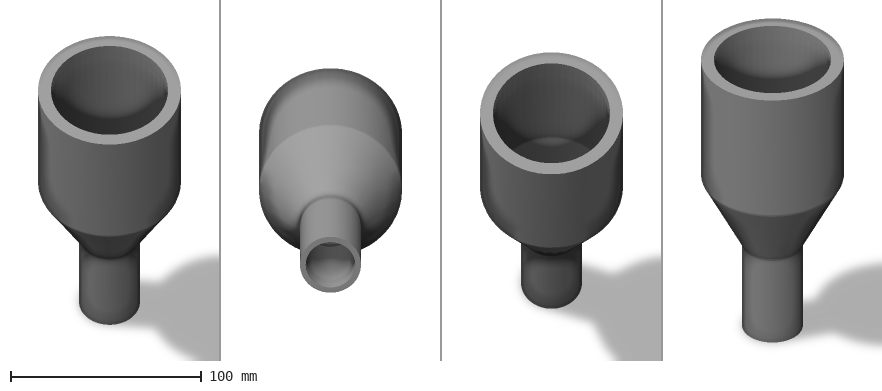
import cadquery as cq

total_height = 170.0
large_diameter = 75.0
small_diameter = 32.0

large_wall = 6.8
small_wall = 3.0

large_length = 74.0
small_length = 53.0

blend_radius = 3.0

cone_bottom = small_length
cone_top = total_height - large_length


def stepped_solid(large_radius, small_radius):
    """Solid of revolution: small cylinder, cone, large cylinder, with blended joints."""
    profile = (
        cq.Workplane("XZ")
        .moveTo(0, 0)
        .lineTo(small_radius, 0)
        .lineTo(small_radius, cone_bottom)
        .lineTo(large_radius, cone_top)
        .lineTo(large_radius, total_height)
        .lineTo(0, total_height)
        .close()
    )
    body = profile.revolve(360, (0, 0, 0), (0, 1, 0))
    joint_edges = cq.selectors.BoxSelector(
        (-large_diameter, -large_diameter, cone_bottom / 2),
        (large_diameter, large_diameter, (cone_top + total_height) / 2),
    )
    return body.edges("%CIRCLE").edges(joint_edges).fillet(blend_radius)


outer = stepped_solid(large_diameter / 2, small_diameter / 2)
bore = stepped_solid(large_diameter / 2 - large_wall, small_diameter / 2 - small_wall)

result = outer.cut(bore)